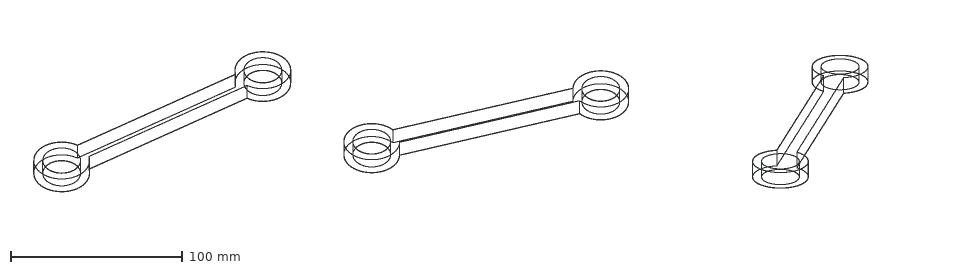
import cadquery as cq

overall_length = 174.45
thickness = 10.0
ring_diameter = 32.62
bore_diameter = 22.1
bar_width = 12.0

center_distance = overall_length - ring_diameter
ring_centers = [(0, -center_distance / 2), (0, center_distance / 2)]


def make_bar():
    """Straight bar joining the two ring centres."""
    return cq.Workplane("XY").rect(bar_width, center_distance).extrude(thickness)


def make_discs(diameter):
    """One full-thickness disc at each ring centre."""
    return cq.Workplane("XY").pushPoints(ring_centers).circle(diameter / 2).extrude(thickness)


result = make_bar().union(make_discs(ring_diameter)).cut(make_discs(bore_diameter))